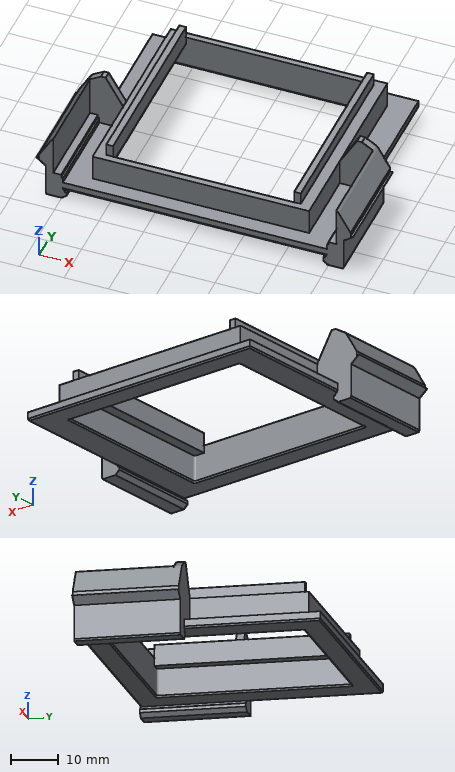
import cadquery as cq
import math

half_width = 35.6
depth = 52.0
height = 16.95
plate_half_width = 29.9
plate_bottom = 2.35
plate_top = 4.3
bevel_height = 0.4
bevel_inset = 0.2
bevel_angle = math.degrees(math.atan(bevel_inset / bevel_height))

frame_half_width = 24.35
frame_front = 3.5
frame_back = 48.3
frame_top = 10.25
opening_half_width = 20.4
opening_front = 5.05
opening_back = 46.85
rail_width = 1.5
rail_top = 13.1
ledge_bottom = 8.55
cavity_half_width = 22.9
cavity_corner_radius = 0.5

clip_depth = 22.8
web_thickness = 1.8
clip_inner_x = 31.8
clip_outer_x = 33.55
clip_crest_z = 15.45
lip_x = 35.0
foot_top = 6.3
web_peak_outer_x = 29.35
web_peak_inner_x = 28.3

clip_outline = [
    (clip_outer_x - bevel_inset, 0),
    (clip_outer_x, bevel_height),
    (clip_outer_x, 7.7),
    (half_width, 9.3),
    (lip_x, 9.3),
    (lip_x, frame_top),
    (32.3, 14.9),
    (clip_inner_x, clip_crest_z),
    (clip_inner_x, foot_top),
    (plate_half_width + 0.15, foot_top),
    (plate_half_width + 0.15, 5.7),
    (plate_half_width - 0.2, 5.35),
    (plate_half_width - 0.2, 2.7),
    (29.2, 1.8),
    (28.85, 1.65),
    (28.85, 0.9),
    (plate_half_width, 0),
]

web_outline = [
    (clip_inner_x, plate_top),
    (clip_inner_x, clip_crest_z),
    (web_peak_outer_x, height),
    (web_peak_inner_x, height),
    (frame_half_width, frame_top),
    (frame_half_width, plate_top),
]


def block(x_min, x_max, y_min, y_max, z_min, z_max):
    """Box given by its limits along each axis."""
    size = (x_max - x_min, y_max - y_min, z_max - z_min)
    return cq.Workplane("XY").box(*size, centered=False).translate((x_min, y_min, z_min))


def extrude_along_y(outline, y_min, y_max):
    """Extrude an XZ outline between two Y positions."""
    section = cq.Workplane("XZ", origin=(0, y_max, 0)).polyline(outline).close()
    return section.extrude(y_max - y_min)


def base_plate():
    """Flat plate whose sides lean inward along the underside."""
    bevel_top = plate_bottom + bevel_height
    slab = block(-plate_half_width, plate_half_width, 0, depth, bevel_top, plate_top)
    bevel = (
        cq.Workplane("XY", origin=(0, depth / 2, bevel_top))
        .rect(2 * plate_half_width, depth)
        .extrude(-bevel_height, taper=bevel_angle)
    )
    return slab.union(bevel)


def frame():
    """Solid frame block and side rails before the opening is cut."""
    body = block(-frame_half_width, frame_half_width, frame_front, frame_back, plate_top, frame_top)
    rail_outer_x = opening_half_width + rail_width
    rails = block(-rail_outer_x, rail_outer_x, opening_front, opening_back, frame_top, rail_top)
    return body.union(rails)


def clip():
    """Clip and web on the +X side."""
    wall = extrude_along_y(clip_outline, 0, clip_depth)
    web = extrude_along_y(web_outline, clip_depth - web_thickness, clip_depth)
    return wall.union(web)


def opening():
    """Through opening that widens below the rail ledges."""
    throat = block(-opening_half_width, opening_half_width, opening_front, opening_back, 0, height)
    cavity = block(-cavity_half_width, cavity_half_width, opening_front, opening_back, 0, ledge_bottom)
    cavity = cavity.edges("|Z").fillet(cavity_corner_radius)
    mouth = (
        cq.Workplane("XY", origin=(0, (opening_front + opening_back) / 2, plate_bottom))
        .rect(2 * (cavity_half_width + bevel_inset), opening_back - opening_front + 2 * bevel_inset)
        .extrude(bevel_height, taper=bevel_angle)
    )
    mouth = mouth.edges("not (#Z or |X or |Y)").fillet(cavity_corner_radius)
    return throat.union(cavity).union(mouth)


right_clip = clip()
left_clip = right_clip.mirror("YZ")
framed_plate = base_plate().union(frame()).cut(opening())

result = framed_plate.union(right_clip).union(left_clip)